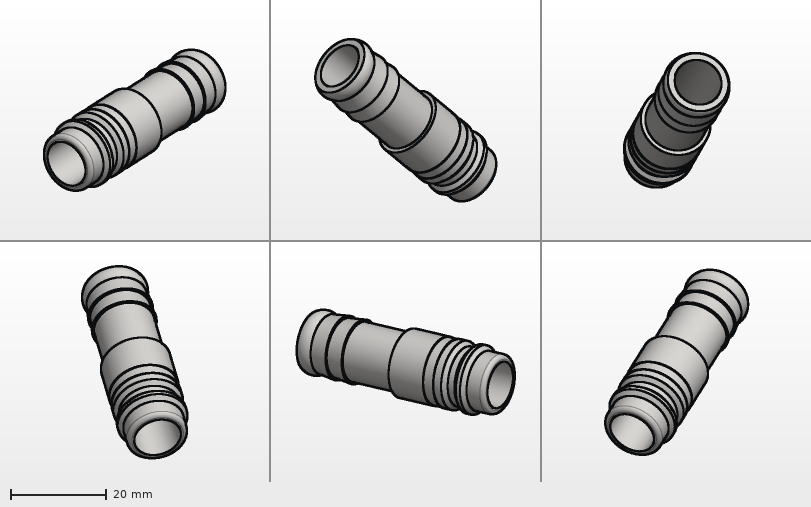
import cadquery as cq

length = 46.5
front_end = -length / 2
back_end = length / 2

bore_radius = 5.0
tube_radius = 6.5
collar_diameter = 15.0
collar_radius = collar_diameter / 2
band_radius = 7.4
barb_radius = 6.98
bead_radius = 7.05

rim_fillet = 0.98
bevel = collar_radius - tube_radius
ring_start = front_end + 4.3
ring_land = 1.0
ring_end = ring_start + 2 * bevel + ring_land

seal_groove_width = 1.67
collar_start = ring_end + seal_groove_width
front_land = 2.0
band_width = 2.5
collar_end = front_end + 23.0
band_start = collar_start + bevel + front_land
band_end = band_start + band_width

bead_width = 3.5
barb_pitch = 4.0
barb_count = 2
bead_start = back_end - bead_width
barbs_start = bead_start - barb_count * barb_pitch


def outer_profile():
    """Half section of the solid body: X is the radius, Y runs along the axis."""
    profile = (
        cq.Workplane("XY")
        .moveTo(0, front_end)
        .lineTo(tube_radius, front_end)
        .lineTo(tube_radius, ring_start)
        .lineTo(collar_radius, ring_start + bevel)
        .lineTo(collar_radius, ring_end - bevel)
        .lineTo(tube_radius, ring_end)
        .lineTo(tube_radius, collar_start)
        .lineTo(collar_radius, collar_start + bevel)
        .lineTo(collar_radius, band_start)
        .lineTo(band_radius, band_start)
        .lineTo(band_radius, band_end)
        .lineTo(collar_radius, band_end)
        .lineTo(collar_radius, collar_end)
        .lineTo(tube_radius, collar_end)
        .lineTo(tube_radius, barbs_start)
    )
    for index in range(barb_count):
        barb_start = barbs_start + index * barb_pitch
        profile = profile.lineTo(barb_radius, barb_start).lineTo(tube_radius, barb_start + barb_pitch)
    return (
        profile.threePointArc((bead_radius, back_end - bead_width / 2), (tube_radius, back_end))
        .lineTo(0, back_end)
        .close()
    )


body = outer_profile().revolve(360, (0, 0), (0, 1))
body = body.faces("<Y").edges().fillet(rim_fillet)
bore = cq.Workplane("XZ", origin=(0, back_end, 0)).circle(bore_radius).extrude(length)
result = body.cut(bore)